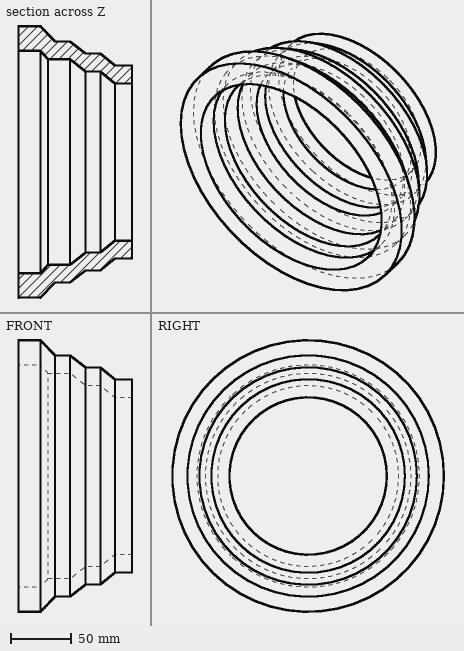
import cadquery as cq

length = 94.0

flange_end = 18.2
first_band_start = 30.4
first_bore_start = 24.5
first_band_end = 42.8
second_band_start = 55.5
second_band_end = 67.7
spigot_start = 79.9

outer_bands = [
    (0, flange_end),
    (first_band_start, first_band_end),
    (second_band_start, second_band_end),
    (spigot_start, length),
]
bore_bands = [
    (0, flange_end),
    (first_bore_start, first_band_end),
    (second_band_start, second_band_end),
    (spigot_start, length),
]

outer_radii = [112.5, 100.0, 90.0, 80.0]
bore_radii = [92.0, 85.0, 75.0, 65.0]


def stepped_profile(bands, radii):
    """Return (x, radius) points of cylindrical bands joined by cones."""
    points = []
    for (start, end), radius in zip(bands, radii):
        points.append((start, radius))
        points.append((end, radius))
    return points


outside = stepped_profile(outer_bands, outer_radii)
bore = stepped_profile(bore_bands, bore_radii)
wall_section = outside + bore[::-1]

result = (
    cq.Workplane("XY")
    .polyline(wall_section)
    .close()
    .revolve(360, (0, 0, 0), (1, 0, 0))
)